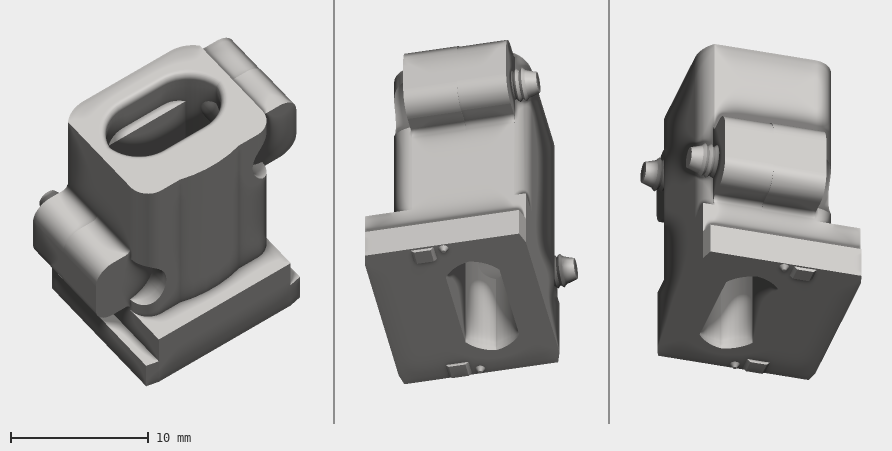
import cadquery as cq
import math

TOP_Z = 19.3
FOOT_BOTTOM_Z = 0.3
FLANGE_TOP_Z = 2.66
BASE_TOP_Z = 5.17

BASE_LENGTH = 11.9
BASE_HALF_WIDTH = 5.96
FLANGE_HALF_WIDTH = 6.95
FLANGE_LEFT_INSET = 0.3
FLANGE_RIGHT_INSET = 0.21

FLAT_START_X = 0.89
FLAT_END_X = 8.43
CORNER_RADIUS = 1.62
BODY_RIGHT_X = FLAT_END_X + CORNER_RADIUS
LEFT_FLAT_HALF_WIDTH = 3.92
BULGE_X = 10.42

SPLIT_X = 4.45
OVAL_HALF_WIDTH = 2.49
OVAL_HALF_LENGTH = 4.79
OVAL_STRAIGHT_HALF = 1.83
LIP_RADIUS = 0.5
RAIL_THICKNESS = 0.5
RAIL_TOP_Z = 16.6
RAIL_SLOPE_DROP = 0.3
BARREL_REACH_Y = 4.28

LUG_START_X = 0.81
LUG_OUTER_Y = 9.05
LUG_HALF_HEIGHT = 2.9
LUG_STEP = 0.08
LUG_ROUND = 1.55
LUG_FILLET = 0.42
LUG_OVERLAP = 0.39
HEAD_CLEARANCE_RADIUS = 2.37

SCREW_Y = 6.27
LOWER_SCREW_Z = 8.72
UPPER_SCREW_Z = 15.73
LOWER_SCREW_TIP_X = -1.14
UPPER_SCREW_TIP_X = -0.98
TIP_RADIUS = 0.77
THREAD_RADIUS = 1.24
ROOT_RADIUS = 1.02
CONE_LENGTH = 0.81
THREAD_PITCH = 0.45

NUB_X = 5.98
NUB_Y = 6.5
NUB_BASE_RADIUS = 0.37
NUB_TIP_RADIUS = 0.14
BAR_CENTRE_X = 7.5
BAR_CENTRE_Y = 6.18
BAR_LENGTH = 1.7
BAR_WIDTH = 1.22
BAR_HEIGHT = 0.23
BAR_BEVEL = 0.23

SCREWS = [
    (-1, LOWER_SCREW_Z, LOWER_SCREW_TIP_X),
    (1, UPPER_SCREW_Z, UPPER_SCREW_TIP_X),
]


def make_base():
    """Rectangular block with a wider flange whose ends taper inwards."""
    block = (
        cq.Workplane("XY", origin=(0, 0, FOOT_BOTTOM_Z))
        .rect(BASE_LENGTH, 2 * BASE_HALF_WIDTH)
        .extrude(BASE_TOP_Z - FOOT_BOTTOM_Z)
        .translate((BASE_LENGTH / 2, 0, 0))
    )
    right_x = BASE_LENGTH - FLANGE_RIGHT_INSET
    flange = (
        cq.Workplane("XY", origin=(0, 0, FOOT_BOTTOM_Z))
        .moveTo(0, -BASE_HALF_WIDTH)
        .lineTo(FLANGE_LEFT_INSET, -FLANGE_HALF_WIDTH)
        .lineTo(right_x, -FLANGE_HALF_WIDTH)
        .lineTo(BASE_LENGTH, -BASE_HALF_WIDTH)
        .lineTo(BASE_LENGTH, BASE_HALF_WIDTH)
        .lineTo(right_x, FLANGE_HALF_WIDTH)
        .lineTo(FLANGE_LEFT_INSET, FLANGE_HALF_WIDTH)
        .lineTo(0, BASE_HALF_WIDTH)
        .close()
        .extrude(FLANGE_TOP_Z - FOOT_BOTTOM_Z)
    )
    return block.union(flange)


def make_body():
    """Round-cornered column joined with a column whose right side bulges out."""
    width = BASE_HALF_WIDTH
    rise = width - LEFT_FLAT_HALF_WIDTH
    left_radius = (rise**2 + FLAT_START_X**2) / (2 * FLAT_START_X)
    right_flat = width - CORNER_RADIUS
    height = TOP_Z - FOOT_BOTTOM_Z
    column = (
        cq.Workplane("XY", origin=(0, 0, FOOT_BOTTOM_Z))
        .moveTo(FLAT_START_X, -width)
        .lineTo(FLAT_END_X, -width)
        .radiusArc((BODY_RIGHT_X, -right_flat), -CORNER_RADIUS)
        .lineTo(BODY_RIGHT_X, right_flat)
        .radiusArc((FLAT_END_X, width), -CORNER_RADIUS)
        .lineTo(FLAT_START_X, width)
        .radiusArc((0, LEFT_FLAT_HALF_WIDTH), -left_radius)
        .lineTo(0, -LEFT_FLAT_HALF_WIDTH)
        .radiusArc((FLAT_START_X, -width), -left_radius)
        .close()
        .extrude(height)
    )
    bulged_column = (
        cq.Workplane("XY", origin=(0, 0, FOOT_BOTTOM_Z))
        .moveTo(FLAT_START_X, -width)
        .lineTo(FLAT_END_X, -width)
        .threePointArc((BULGE_X, 0), (FLAT_END_X, width))
        .lineTo(FLAT_START_X, width)
        .close()
        .extrude(height)
    )
    return column.union(bulged_column)


def make_lug_half(side, centre_z, half_height, start_x, end_x):
    """One length of a lug: rounded outside, filleted into the body."""
    inner_y = BASE_HALF_WIDTH - LUG_OVERLAP
    root_y = BASE_HALF_WIDTH
    fillet_y = root_y + LUG_FILLET
    round_y = LUG_OUTER_Y - LUG_ROUND
    fillet_mid = LUG_FILLET * (1 - math.sqrt(0.5))
    round_mid = LUG_ROUND * (1 - math.sqrt(0.5))

    def at(y, height):
        return (side * y, centre_z + height)

    h = half_height
    return (
        cq.Workplane("YZ", origin=(start_x, 0, 0))
        .moveTo(*at(inner_y, h + LUG_FILLET))
        .lineTo(*at(root_y, h + LUG_FILLET))
        .threePointArc(at(root_y + fillet_mid, h + fillet_mid), at(fillet_y, h))
        .lineTo(*at(round_y, h))
        .threePointArc(at(LUG_OUTER_Y - round_mid, h - round_mid), at(LUG_OUTER_Y, h - LUG_ROUND))
        .lineTo(*at(LUG_OUTER_Y, LUG_ROUND - h))
        .threePointArc(at(LUG_OUTER_Y - round_mid, round_mid - h), at(round_y, -h))
        .lineTo(*at(fillet_y, -h))
        .threePointArc(at(root_y + fillet_mid, -h - fillet_mid), at(root_y, -h - LUG_FILLET))
        .lineTo(*at(inner_y, -h - LUG_FILLET))
        .close()
        .extrude(end_x - start_x)
    )


def make_lug(side, centre_z):
    """Lug made of two lengths, the right one slightly taller."""
    left = make_lug_half(side, centre_z, LUG_HALF_HEIGHT, LUG_START_X, SPLIT_X)
    right = make_lug_half(side, centre_z, LUG_HALF_HEIGHT + LUG_STEP, SPLIT_X, FLAT_END_X)
    return left.union(right)


def make_head_clearance(side, centre_z):
    """Cylindrical relief in the body corner behind the lug."""
    return (
        cq.Workplane("YZ", origin=(FLAT_END_X, side * SCREW_Y, centre_z))
        .circle(HEAD_CLEARANCE_RADIUS)
        .extrude(BULGE_X - FLAT_END_X)
    )


def make_screw(side, centre_z, tip_x):
    """Screw end with a conical tip and ring-shaped thread ridges."""
    outline = cq.Workplane("XY").moveTo(tip_x, 0).lineTo(tip_x, TIP_RADIUS)
    root_x = tip_x + CONE_LENGTH
    outline = outline.lineTo(root_x, ROOT_RADIUS)
    while root_x < LUG_START_X:
        outline = outline.lineTo(root_x + THREAD_PITCH / 2, THREAD_RADIUS)
        root_x += THREAD_PITCH
        outline = outline.lineTo(root_x, ROOT_RADIUS)
    screw = outline.lineTo(root_x, 0).close().revolve(360, (0, 0, 0), (1, 0, 0))
    return screw.translate((0, side * SCREW_Y, centre_z))


def make_oval_passage():
    """Long oval prism with a rounded lip; each end is two arcs meeting on the centre line."""
    rise = OVAL_HALF_LENGTH - OVAL_STRAIGHT_HALF
    arc_radius = (OVAL_HALF_WIDTH**2 + rise**2) / (2 * OVAL_HALF_WIDTH)
    arc_centre_x = OVAL_HALF_WIDTH - arc_radius
    lip_mid = LIP_RADIUS * (1 - math.sqrt(0.5))

    def half_section(axis_x):
        return (
            cq.Workplane("XZ")
            .moveTo(axis_x, FOOT_BOTTOM_Z)
            .lineTo(OVAL_HALF_WIDTH, FOOT_BOTTOM_Z)
            .lineTo(OVAL_HALF_WIDTH, TOP_Z - LIP_RADIUS)
            .threePointArc(
                (OVAL_HALF_WIDTH + lip_mid, TOP_Z - lip_mid),
                (OVAL_HALF_WIDTH + LIP_RADIUS, TOP_Z),
            )
            .lineTo(axis_x, TOP_Z)
            .close()
        )

    quadrant_size = 2 * OVAL_HALF_LENGTH
    quadrant = (
        cq.Workplane("XY", origin=(0, 0, FOOT_BOTTOM_Z))
        .rect(quadrant_size, quadrant_size, centered=False)
        .extrude(TOP_Z - FOOT_BOTTOM_Z)
    )
    quarter_end = (
        half_section(arc_centre_x)
        .revolve(360, (arc_centre_x, 0, 0), (arc_centre_x, 1, 0))
        .intersect(quadrant)
        .translate((0, OVAL_STRAIGHT_HALF, 0))
    )
    straight_half = half_section(0).extrude(OVAL_STRAIGHT_HALF, both=True)
    half = straight_half.union(quarter_end).union(quarter_end.mirror("XZ"))
    return half.union(half.mirror("YZ")).translate((SPLIT_X, 0, 0))


def make_side_rail(side):
    """Narrowing along one long side of the opening, with a sloped upper end."""
    inner_x = OVAL_HALF_WIDTH - RAIL_THICKNESS
    return (
        cq.Workplane("XZ", origin=(SPLIT_X, 0, 0))
        .moveTo(side * OVAL_HALF_WIDTH, FOOT_BOTTOM_Z)
        .lineTo(side * OVAL_HALF_WIDTH, RAIL_TOP_Z)
        .lineTo(side * inner_x, RAIL_TOP_Z - RAIL_SLOPE_DROP)
        .lineTo(side * inner_x, FOOT_BOTTOM_Z)
        .close()
        .extrude(OVAL_HALF_LENGTH, both=True)
    )


def make_screw_barrel(side, centre_z):
    """Wall around a screw, which bulges into the end of the opening."""
    return (
        cq.Workplane("YZ", origin=(LUG_START_X, side * SCREW_Y, centre_z))
        .circle(SCREW_Y - BARREL_REACH_Y)
        .extrude(FLAT_END_X - LUG_START_X)
    )


def make_opening():
    """Oval passage through the part, narrowed by the side rails and the screw barrels."""
    opening = make_oval_passage()
    for side in (-1, 1):
        opening = opening.cut(make_side_rail(side))
    for side, centre_z, _ in SCREWS:
        opening = opening.cut(make_screw_barrel(side, centre_z))
    return opening


def make_feet(side):
    """Pointed nub and bevelled bar under the flange."""
    nub = cq.Workplane(
        cq.Solid.makeCone(
            NUB_TIP_RADIUS, NUB_BASE_RADIUS, FOOT_BOTTOM_Z, cq.Vector(NUB_X, side * NUB_Y, 0)
        )
    )
    bar_half = BAR_LENGTH / 2
    bar = (
        cq.Workplane("XZ", origin=(BAR_CENTRE_X, side * BAR_CENTRE_Y, FOOT_BOTTOM_Z))
        .moveTo(-bar_half, 0)
        .lineTo(bar_half, 0)
        .lineTo(bar_half - BAR_BEVEL, -BAR_HEIGHT)
        .lineTo(BAR_BEVEL - bar_half, -BAR_HEIGHT)
        .close()
        .extrude(BAR_WIDTH / 2, both=True)
    )
    return nub.union(bar)


result = make_base().union(make_body())
for screw_side, axis_z, _ in SCREWS:
    result = result.cut(make_head_clearance(screw_side, axis_z))
    result = result.union(make_lug(screw_side, axis_z))

result = result.cut(make_opening())
for screw_side, axis_z, tip in SCREWS:
    result = result.union(make_screw(screw_side, axis_z, tip))
for foot_side in (-1, 1):
    result = result.union(make_feet(foot_side))